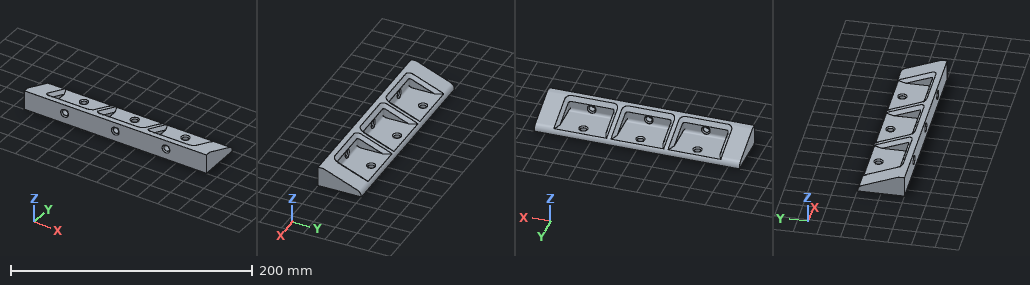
import cadquery as cq
import math

length = 179.6
depth = 40.0
height = 18.5

slope_angle = 21.8
crest_width = 5.0
crest_radius = 5.7
nose_radius = 6.5

pitch = 50.0
pocket_count = 3
pocket_width = 40.0
pocket_front = 8.0
floor_height = 4.8
rim_chamfer = 3.0
corner_radius = 2.0
floor_fillet = 3.0

hole_diameter = 5.4
countersink_diameter = 7.5
wall_hole_height = 10.2
floor_hole_y = 30.0

slope = math.tan(math.radians(slope_angle))
slope_end_height = height - (depth - crest_width) * slope
pocket_centres = [(i - (pocket_count - 1) / 2) * pitch for i in range(pocket_count)]


def section_corner(y, z):
    """Selector for the edge parallel to X at the given place on the section."""
    return cq.selectors.NearestToPointSelector((0, y, z))


def nosed_wedge():
    """Full-length wedge with a rounded back edge and a still sharp crest."""
    outline = [(0, 0), (depth, 0), (depth, slope_end_height), (crest_width, height), (0, height)]
    wedge = cq.Workplane("YZ").polyline(outline).close().extrude(length / 2, both=True)
    return wedge.edges(section_corner(depth, slope_end_height)).fillet(nose_radius)


def pocket_opening(x):
    """Full-height prism, open at the back, with rounded front corners."""
    prism = cq.Workplane("XY").box(pocket_width, 2 * depth, height, centered=(True, False, False))
    return prism.edges("|Z and <Y").fillet(corner_radius).translate((x, pocket_front, 0))


def cut_pockets(body):
    """Open the pockets through the body and chamfer their rims down to the back."""
    for x in pocket_centres:
        body = body.cut(pocket_opening(x))
    rim_height = height - (pocket_front - crest_width) * slope
    for x in pocket_centres:
        front_rim = cq.selectors.NearestToPointSelector((x, pocket_front, rim_height))
        body = body.edges(front_rim).chamfer(rim_chamfer)
    return body


def pocket_floor():
    """Slab that closes the pockets from below, with a concave fillet along their front walls."""
    fillet_end = pocket_front + floor_fillet
    fillet_top = floor_height + floor_fillet
    run = floor_fillet * (1 - math.sqrt(0.5))
    section = (
        cq.Workplane("YZ")
        .lineTo(depth, 0)
        .lineTo(depth, floor_height)
        .lineTo(fillet_end, floor_height)
        .threePointArc((pocket_front + run, floor_height + run), (pocket_front, fillet_top))
        .lineTo(0, fillet_top)
        .close()
    )
    return section.extrude(length / 2, both=True)


def countersunk_hole(body, origin, axis):
    """Through hole drilled against `axis`, countersunk at `origin` and clear in front of it."""
    sink_depth = (countersink_diameter - hole_diameter) / 2
    start = cq.Workplane(cq.Plane(origin=origin, xDir=(1, 0, 0), normal=axis))
    drill = start.circle(hole_diameter / 2).extrude(-depth)
    sink = start.circle(countersink_diameter / 2).extrude(-sink_depth, taper=45)
    clearance = start.circle(countersink_diameter / 2).extrude(floor_fillet)
    return body.cut(drill).cut(sink).cut(clearance)


wedge = nosed_wedge()
rounded_wedge = wedge.edges(section_corner(crest_width, height)).fillet(crest_radius)
result = cut_pockets(wedge).union(pocket_floor()).intersect(rounded_wedge)

for x in pocket_centres:
    result = countersunk_hole(result, (x, floor_hole_y, floor_height), (0, 0, 1))
    result = countersunk_hole(result, (x, 0, wall_hole_height), (0, -1, 0))
    result = countersunk_hole(result, (x, pocket_front, wall_hole_height), (0, 1, 0))